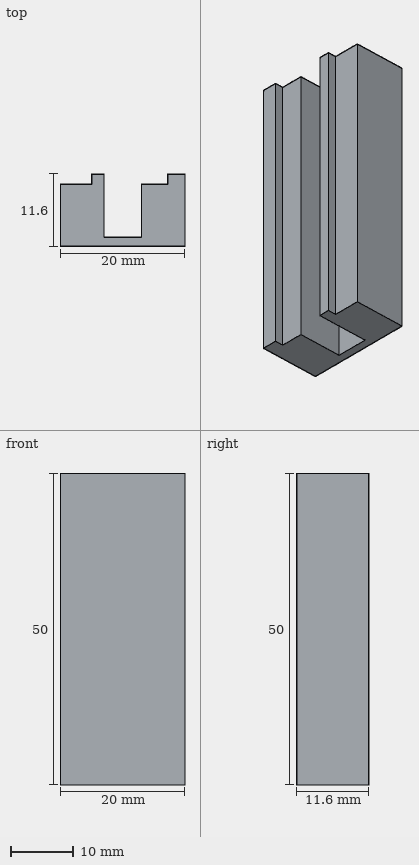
import cadquery as cq

width = 20.0
depth = 11.6
length = 50.0

channel_left = 7.0
channel_width = 6.0
front_wall = 1.5

lip_height = 1.6
left_lip_width = 2.0
right_lip_width = 2.8

shoulder_y = depth - lip_height
channel_right = channel_left + channel_width

profile = [
    (0, 0),
    (width, 0),
    (width, depth),
    (width - right_lip_width, depth),
    (width - right_lip_width, shoulder_y),
    (channel_right, shoulder_y),
    (channel_right, front_wall),
    (channel_left, front_wall),
    (channel_left, depth),
    (channel_left - left_lip_width, depth),
    (channel_left - left_lip_width, shoulder_y),
    (0, shoulder_y),
]

result = cq.Workplane("XY").polyline(profile).close().extrude(length)